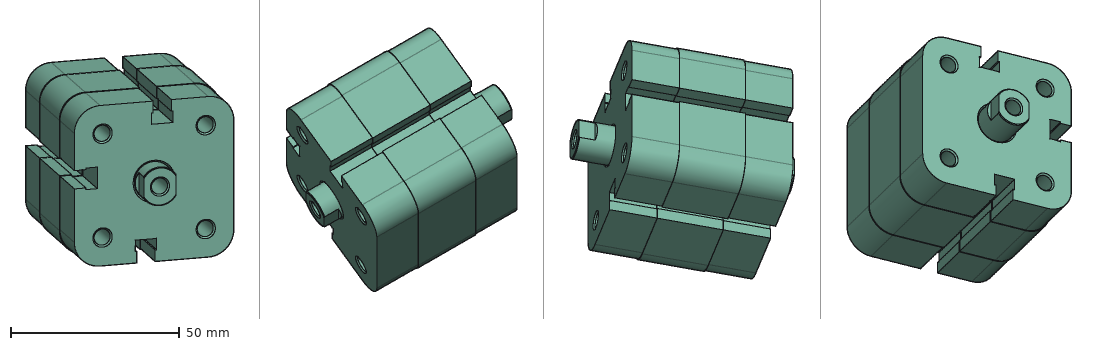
import cadquery as cq
import math

barrel_length = 20.35
cover_length = 14.6
rod_reach_left = 11.0
rod_reach_right = 5.9
cover_face = barrel_length / 2 + cover_length
rod_left = -cover_face - rod_reach_left
rod_right = cover_face + rod_reach_right

barrel_side = 50.0
cover_inset = 0.2
cover_side = barrel_side - 2 * cover_inset
corner_radius = 8.0

slot_offset = 2.5
mouth_width = 5.25
pocket_width = 6.25
mouth_depth = 3.8
slot_depth = 7.1
slot_turns = (0, 90, 180)

mount_offset = 16.0
mount_diameter = 5.0
mount_chamfer = 0.5

rod_diameter = 12.0
rod_chamfer = 0.25
passage_chamfer = 0.5
flat_width = 10.0
flat_length = 5.05
flat_runout = 0.45
end_bore_diameter = 5.0
end_bore_chamfer = 0.45
end_bore_depth = 12.0
drill_point_angle = 118.0


def cylinder(x_start, length, diameter):
    return cq.Workplane("YZ", origin=(x_start, 0, 0)).circle(diameter / 2).extrude(length)


def slot_cutter(x_start, length, inset):
    """Slot for the +Z face, with its side walls and floor moved outward by inset."""
    top = barrel_side / 2
    shoulder = top - mouth_depth
    floor = top - slot_depth - inset
    mouth_half = mouth_width / 2 + inset
    pocket_half = pocket_width / 2 + inset
    return (
        cq.Workplane("YZ", origin=(x_start, slot_offset, 0))
        .moveTo(-mouth_half, top)
        .lineTo(-mouth_half, shoulder)
        .lineTo(-pocket_half, shoulder)
        .lineTo(-pocket_half, floor)
        .lineTo(pocket_half, floor)
        .lineTo(pocket_half, shoulder)
        .lineTo(mouth_half, shoulder)
        .lineTo(mouth_half, top)
        .close()
        .extrude(length)
    )


def section_block(x_start, length, side, inset):
    """Rounded square block with sensor slots, mounting holes and rod passage."""
    block = (
        cq.Workplane("YZ", origin=(x_start, 0, 0))
        .rect(side, side)
        .extrude(length)
        .edges("|X")
        .fillet(corner_radius)
    )
    slot = slot_cutter(x_start, length, inset)
    for turn in slot_turns:
        block = block.cut(slot.rotate((0, 0, 0), (1, 0, 0), turn))
    mount_holes = (
        cq.Workplane("YZ", origin=(x_start, 0, 0))
        .rect(2 * mount_offset, 2 * mount_offset, forConstruction=True)
        .vertices()
        .circle(mount_diameter / 2)
        .extrude(length)
    )
    return block.cut(mount_holes).cut(cylinder(x_start, length, rod_diameter))


def make_barrel():
    return section_block(-barrel_length / 2, barrel_length, barrel_side, 0)


def chamfer_outer_holes(cover, diameter, chamfer):
    """Chamfer the holes of one diameter where they open on the left face."""
    rims = cover.faces("<X").edges("%CIRCLE").filter(
        lambda edge: math.isclose(edge.radius(), diameter / 2)
    )
    return rims.chamfer(chamfer)


def make_left_cover():
    cover = section_block(-cover_face, cover_length, cover_side, cover_inset)
    cover = chamfer_outer_holes(cover, mount_diameter, mount_chamfer)
    return chamfer_outer_holes(cover, rod_diameter, passage_chamfer)


def flat_cutter():
    """Material beside the -Y flat at the left rod end; its inner end slopes outward."""
    flat_y = -flat_width / 2
    outside_y = -rod_diameter / 2
    return (
        cq.Workplane("XY", origin=(rod_left, 0, -rod_diameter / 2))
        .moveTo(0, flat_y)
        .lineTo(flat_length, flat_y)
        .lineTo(flat_length + flat_runout, outside_y)
        .lineTo(0, outside_y)
        .close()
        .extrude(rod_diameter)
    )


def end_bore_cutter():
    """Chamfered blind bore with a drill point at the left rod end."""
    radius = end_bore_diameter / 2
    point_length = radius / math.tan(math.radians(drill_point_angle / 2))
    return (
        cq.Workplane("XY", origin=(rod_left, 0, 0))
        .moveTo(0, 0)
        .lineTo(0, radius + end_bore_chamfer)
        .lineTo(end_bore_chamfer, radius)
        .lineTo(end_bore_depth, radius)
        .lineTo(end_bore_depth + point_length, 0)
        .close()
        .revolve(360, (0, 0, 0), (1, 0, 0))
    )


def make_rod():
    rod = cylinder(rod_left, rod_right - rod_left, rod_diameter).edges().chamfer(rod_chamfer)
    rod_middle = (rod_left + rod_right) / 2
    left_flat = flat_cutter()
    left_cuts = [left_flat, left_flat.mirror("XZ"), end_bore_cutter()]
    for cutter in left_cuts:
        rod = rod.cut(cutter)
        rod = rod.cut(cutter.mirror("YZ", (rod_middle, 0, 0)))
    return rod


barrel = make_barrel()
left_cover = make_left_cover()
right_cover = left_cover.mirror("YZ")
rod = make_rod()

result = cq.Compound.makeCompound([barrel.val(), left_cover.val(), right_cover.val(), rod.val()])